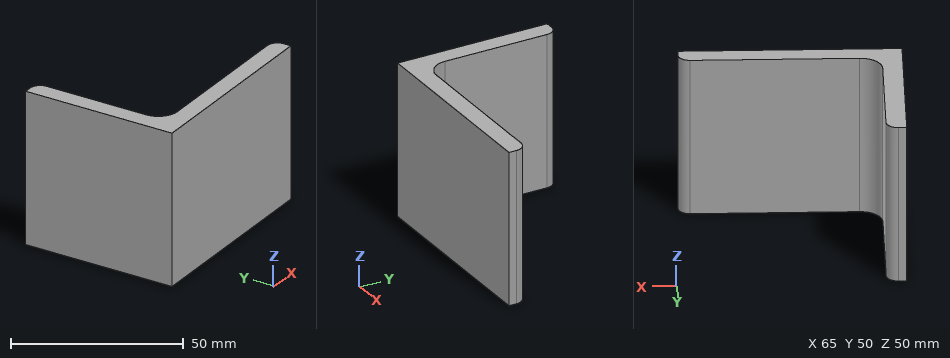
import cadquery as cq

long_leg = 65.0
short_leg = 50.0
length = 50.0
thickness = 6.0
root_radius = 6.5
toe_radius = 3.5

angle = (
    cq.Workplane("XY")
    .polyline([
        (0, 0),
        (long_leg, 0),
        (long_leg, thickness),
        (thickness, thickness),
        (thickness, short_leg),
        (0, short_leg),
    ])
    .close()
    .extrude(length)
)


def round_vertical_edge(body, x, y, radius):
    """Fillet the vertical edge nearest to the point (x, y)."""
    nearest_edge = cq.selectors.NearestToPointSelector((x, y, length / 2))
    return body.edges("|Z").edges(nearest_edge).fillet(radius)


angle = round_vertical_edge(angle, thickness, thickness, root_radius)
angle = round_vertical_edge(angle, long_leg, thickness, toe_radius)
angle = round_vertical_edge(angle, thickness, short_leg, toe_radius)

result = angle